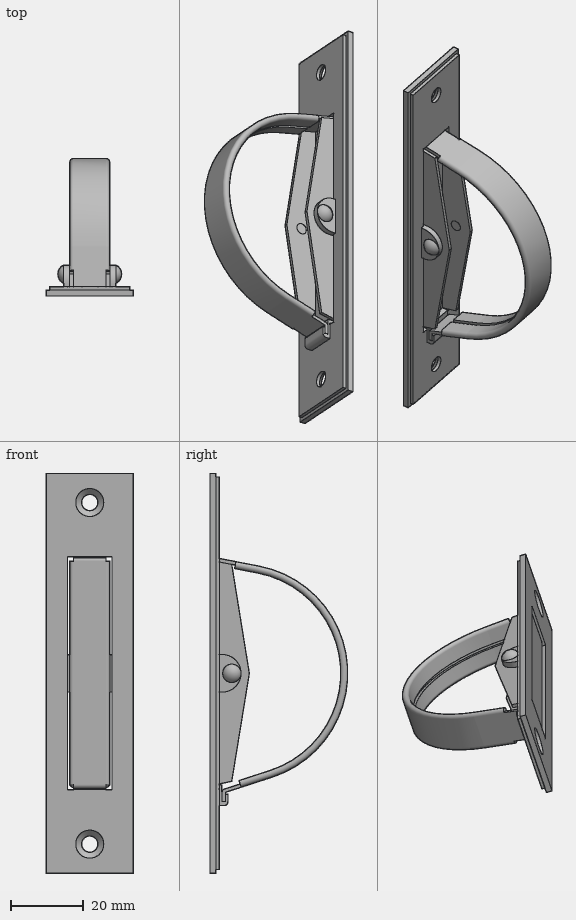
import cadquery as cq
import math


plate_length = 110.0
plate_width = 24.0
front_thickness = 1.6
back_thickness = 1.0
back_inset = 1.0
plate_back = front_thickness + back_thickness
window_width = 12.2
window_length = 64.0

screw_offset = 47.0
screw_radius = 2.2
countersink_radius = screw_radius + front_thickness

sheet = 1.0
handle_width = 11.0
strip_width = handle_width - 2 * sheet
panel_front = 0.5
panel_back = panel_front + sheet
panel_bottom = -30.7

loop_radius = 30.0
loop_back = 38.0
loop_y = loop_back - loop_radius
inner_radius = loop_radius - sheet
upper_angle = math.radians(11)
lower_angle = math.radians(18)

hem_gap = 1.1
upper_hem_length = 6.6
lower_hem_length = 9.0

cheek_apex_y = 10.9
shoulder_y = 6.0
lower_shoulder_z = -29.7

hook_sheet = 0.7
hook_clearance = 0.02
hook_corner = 1.1
hook_bottom = -36.4
hook_lip_top = -33.2
slot_bottom = -35.2
slot_front = plate_back + hook_sheet
free_end_front = slot_front + hook_clearance
free_end_back = free_end_front + sheet
slot_back = free_end_back + hook_clearance
hook_back = slot_back + hook_sheet

ear_radius = 5.2
ear_center_y = 3.4
ear_thickness = 1.6
ear_inner_x = handle_width / 2
ear_outer_x = ear_inner_x + ear_thickness
pivot_y = 6.0
dome_radius = 2.5
dome_height = 1.6
shank_radius = 1.5


def extrude_across(outline, width):
    """Extrude a closed YZ outline by a width centred on X = 0."""
    return outline.extrude(width / 2, both=True)


def upper_point(radius, along=0.0):
    """Point on the upper straight, a distance from its tangent point on the loop."""
    y = loop_y + radius * math.sin(upper_angle) - along * math.cos(upper_angle)
    z = radius * math.cos(upper_angle) + along * math.sin(upper_angle)
    return y, z


def lower_point(radius, along=0.0):
    """Point on the lower straight, a distance from its tangent point on the loop."""
    y = loop_y + radius * math.sin(lower_angle) - along * math.cos(lower_angle)
    z = -radius * math.cos(lower_angle) - along * math.sin(lower_angle)
    return y, z


def upper_z(radius, y):
    """Height of the upper straight at a given Y."""
    return (radius - (y - loop_y) * math.sin(upper_angle)) / math.cos(upper_angle)


def lower_z(radius, y):
    """Height of the lower straight at a given Y."""
    return -(radius - (y - loop_y) * math.sin(lower_angle)) / math.cos(lower_angle)


panel_top = upper_z(inner_radius, panel_back)


def bend_point(center, angle):
    """Point on the outside of a sharp inside bend, at an angle from +Y toward +Z."""
    return center[0] + sheet * math.cos(angle), center[1] + sheet * math.sin(angle)


def ear(side):
    """Round-ended ear on the back of the plate, at the side -1 or +1."""
    outline = (
        cq.Workplane("YZ", origin=(side * ear_inner_x, 0, 0))
        .moveTo(front_thickness, -ear_radius)
        .lineTo(ear_center_y, -ear_radius)
        .threePointArc((ear_center_y + ear_radius, 0), (ear_center_y, ear_radius))
        .lineTo(front_thickness, ear_radius)
        .close()
    )
    return outline.extrude(side * ear_thickness)


def pivot_cylinder(inner_x, outer_x, side):
    """Cylinder of the shank diameter on the pivot axis, between two distances from X = 0."""
    start = cq.Workplane("YZ", origin=(side * inner_x, pivot_y, 0))
    return start.circle(shank_radius).extrude(side * (outer_x - inner_x))


def screw_cutter(z):
    """Countersunk screw hole through both layers."""
    profile = (
        cq.Workplane("XY", origin=(0, 0, z))
        .lineTo(countersink_radius, 0)
        .lineTo(screw_radius, front_thickness)
        .lineTo(screw_radius, plate_back)
        .lineTo(0, plate_back)
        .close()
    )
    return profile.revolve(360, (0, 0, 0), (0, 1, 0))


def build_plate():
    front = cq.Workplane("XY").box(
        plate_width, front_thickness, plate_length, centered=(True, False, True)
    )
    back = cq.Workplane("XY", origin=(0, front_thickness, 0)).box(
        plate_width - 2 * back_inset,
        back_thickness,
        plate_length - 2 * back_inset,
        centered=(True, False, True),
    )
    window = cq.Workplane("XY").box(
        window_width, plate_back, window_length, centered=(True, False, True)
    )
    plate = front.union(back).cut(window)
    for z in (-screw_offset, screw_offset):
        plate = plate.cut(screw_cutter(z))
    for side in (-1, 1):
        plate = plate.union(ear(side)).cut(pivot_cylinder(ear_inner_x, ear_outer_x, side))
    return plate


def build_pan():
    """Front panel and both cheeks: a channel with rounded outer bends."""
    upper_shoulder_z = upper_z(inner_radius, shoulder_y)
    outline = cq.Workplane("YZ").polyline(
        [
            (panel_front, panel_bottom),
            (panel_back, panel_bottom),
            (shoulder_y, lower_shoulder_z),
            (cheek_apex_y, 0),
            (shoulder_y, upper_shoulder_z),
            (panel_back, panel_top),
            (panel_front, panel_top),
        ]
    ).close()
    pan = extrude_across(outline, handle_width)
    pan = pan.faces("<Y").edges("|Z").fillet(sheet)
    inside = cq.Workplane("XY", origin=(0, panel_back, 0)).box(
        strip_width, cheek_apex_y, plate_length, centered=(True, False, True)
    )
    return pan.cut(inside)


def build_strip():
    """Narrow strip from the top of the panel round the loop to its free end."""
    top_bend = (panel_back, panel_top)
    kink = (free_end_back, lower_z(loop_radius, free_end_back))
    bend_end_angle = math.pi / 2 - upper_angle
    bend_middle_angle = (math.pi + bend_end_angle) / 2
    kink_end_angle = math.pi / 2 + lower_angle
    kink_middle_angle = (math.pi + kink_end_angle) / 2
    outline = (
        cq.Workplane("YZ")
        .moveTo(panel_front, panel_top)
        .threePointArc(bend_point(top_bend, bend_middle_angle), bend_point(top_bend, bend_end_angle))
        .lineTo(*upper_point(loop_radius))
        .threePointArc((loop_back, 0), lower_point(loop_radius))
        .lineTo(*kink)
        .lineTo(free_end_back, slot_bottom + hook_clearance)
        .lineTo(free_end_front, slot_bottom + hook_clearance)
        .lineTo(free_end_front, kink[1])
        .threePointArc(bend_point(kink, kink_middle_angle), bend_point(kink, kink_end_angle))
        .lineTo(*lower_point(inner_radius))
        .threePointArc((loop_y + inner_radius, 0), upper_point(inner_radius))
        .lineTo(*top_bend)
        .close()
    )
    return extrude_across(outline, strip_width)


def build_hem():
    """Edges of the loop folded flat inward, leaving a gap between the two folds."""
    start = upper_point(inner_radius, upper_hem_length)
    path = (
        cq.Workplane("YZ")
        .moveTo(*start)
        .lineTo(*upper_point(inner_radius))
        .threePointArc((loop_y + inner_radius, 0), lower_point(inner_radius))
        .lineTo(*lower_point(inner_radius, lower_hem_length))
    )
    section_plane = cq.Plane(
        origin=(0, *start),
        xDir=(1, 0, 0),
        normal=(0, math.cos(upper_angle), -math.sin(upper_angle)),
    )
    flat = strip_width / 2
    half_gap = hem_gap / 2
    section = (
        cq.Workplane(section_plane)
        .moveTo(-flat, -sheet)
        .lineTo(flat, -sheet)
        .threePointArc((flat + sheet, 0), (flat, sheet))
        .lineTo(half_gap, sheet)
        .lineTo(half_gap, 0)
        .lineTo(-half_gap, 0)
        .lineTo(-half_gap, sheet)
        .lineTo(-flat, sheet)
        .threePointArc((-flat - sheet, 0), (-flat, -sheet))
        .close()
    )
    return section.sweep(path)


def build_hook():
    """Flange from the bottom of the panel, turned up behind the plate round the free end."""
    bottom_bend = (panel_back, panel_bottom)
    bend_middle_angle = math.radians(225)
    flange_bottom = panel_bottom - sheet
    corner = (hook_back - hook_corner, hook_bottom + hook_corner)
    diagonal = hook_corner * math.sqrt(0.5)
    outline = (
        cq.Workplane("YZ")
        .moveTo(panel_front, panel_bottom)
        .threePointArc(bend_point(bottom_bend, bend_middle_angle), (panel_back, flange_bottom))
        .lineTo(plate_back, flange_bottom)
        .lineTo(plate_back, hook_bottom)
        .lineTo(corner[0], hook_bottom)
        .threePointArc((corner[0] + diagonal, corner[1] - diagonal), (hook_back, corner[1]))
        .lineTo(hook_back, hook_lip_top)
        .lineTo(slot_back, hook_lip_top)
        .lineTo(slot_back, slot_bottom)
        .lineTo(slot_front, slot_bottom)
        .lineTo(slot_front, panel_bottom)
        .close()
    )
    return extrude_across(outline, strip_width)


def build_handle():
    handle = build_pan().union(build_strip()).union(build_hem()).union(build_hook())
    for side in (-1, 1):
        handle = handle.cut(pivot_cylinder(strip_width / 2, handle_width / 2, side))
    return handle


def build_rivet(side):
    """Shank through one ear and one cheek, with a domed head outside the ear."""
    dome_tip = ear_outer_x + dome_height
    sphere_radius = (dome_radius**2 + dome_height**2) / (2 * dome_height)
    sphere_x = dome_tip - sphere_radius
    half_angle = math.asin(dome_radius / sphere_radius) / 2
    dome_middle = (
        side * (sphere_x + sphere_radius * math.cos(half_angle)),
        sphere_radius * math.sin(half_angle),
    )
    head = (
        cq.Workplane("XY", origin=(0, pivot_y, 0))
        .moveTo(side * ear_outer_x, 0)
        .lineTo(side * ear_outer_x, dome_radius)
        .threePointArc(dome_middle, (side * dome_tip, 0))
        .close()
        .revolve(360, (0, 0, 0), (1, 0, 0))
    )
    return head.union(pivot_cylinder(strip_width / 2, ear_outer_x, side))


plate = build_plate()
handle = build_handle()
rivets = [build_rivet(side).val() for side in (-1, 1)]

result = cq.Compound.makeCompound([plate.val(), handle.val(), *rivets])